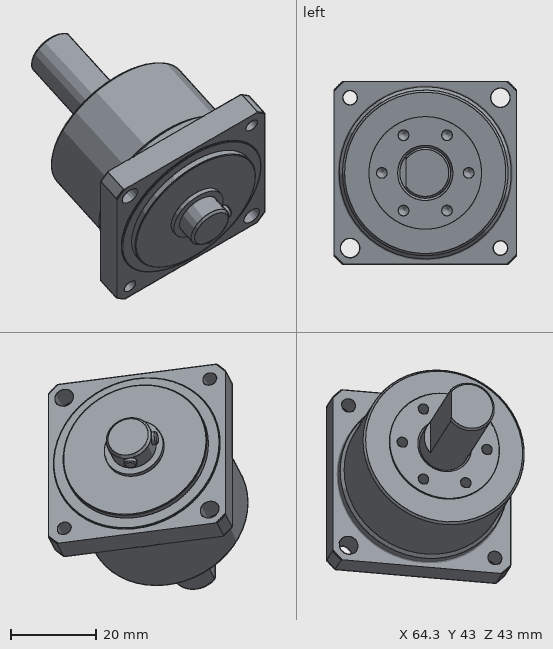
import cadquery as cq
import math


shaft_radius = 6.0
shaft_chamfer = 0.45
flat_height = 4.5
flat_length = 21.5

disc_front = 26.0
disc_thickness = 7.7
disc_back = disc_front + disc_thickness
disc_radius = 13.25
bore_countersink = 0.5
disc_hole_count = 6
disc_hole_circle_radius = 10.2
disc_hole_radius = 1.255
disc_hole_depth = 5.15
drill_tip_angle = 118.0

barrel_front = 26.5
barrel_radius = 19.5
barrel_chamfer = 0.5
pilot_front = 46.4
pilot_radius = 20.25
pilot_chamfer = pilot_radius - barrel_radius
pilot_root_fillet = 0.2
flange_front = 49.5
flange_back = 56.1
flange_side = 43.0
flange_corner_radius = 29.0
flange_corner_chamfer = 0.2
rear_pilot_back = 56.45
rear_pilot_chamfer = 0.2
cover_back = 58.0
cover_radius = 17.5
cover_chamfer = 0.2
mount_hole_offset = 17.7
small_mount_radius = 1.7
large_mount_radius = 2.25

overall_length = 64.3
collar_back = 59.1
collar_radius = 7.15
hub_radius = 5.45
hub_chamfer = 0.6

screw_x = 62.2
screw_radius = 1.51
screw_inner = 2.6
screw_outer = 6.5
screw_chamfer = 0.3


def cylinder_x(x_start, x_end, radius, y=0.0, z=0.0):
    """Solid cylinder parallel to X between two stations."""
    length = x_end - x_start
    return cq.Workplane("YZ", origin=(x_start, y, z)).circle(radius).extrude(length)


def make_shaft():
    """Output shaft with a chamfered tip and a D-flat facing +Y."""
    shaft = cylinder_x(0, disc_back, shaft_radius).faces("<X").chamfer(shaft_chamfer)
    flat_cut = cq.Workplane("XY").box(
        flat_length, shaft_radius, 2 * shaft_radius, centered=(False, False, True)
    )
    return shaft.cut(flat_cut.translate((0, flat_height, 0)))


def make_disc_hole(angle):
    """Blind drilled hole with a conical bottom, at an angle on the hole circle."""
    tip_depth = disc_hole_radius / math.tan(math.radians(drill_tip_angle / 2))
    y = disc_hole_circle_radius * math.cos(angle)
    z = disc_hole_circle_radius * math.sin(angle)
    profile = (
        cq.Workplane("XY")
        .lineTo(0, disc_hole_radius)
        .lineTo(disc_hole_depth, disc_hole_radius)
        .lineTo(disc_hole_depth + tip_depth, 0)
        .close()
    )
    return profile.revolve(360, (0, 0, 0), (1, 0, 0)).translate((disc_front, y, z))


def make_disc():
    """Output disc with a countersunk shaft bore and a ring of drilled holes."""
    disc = cylinder_x(disc_front, disc_back, disc_radius)
    disc = disc.cut(cylinder_x(disc_front, disc_back, shaft_radius))
    bore_rim = disc.faces("<X").edges(cq.selectors.RadiusNthSelector(0))
    disc = bore_rim.chamfer(bore_countersink)
    for index in range(disc_hole_count):
        disc = disc.cut(make_disc_hole(2 * math.pi * index / disc_hole_count))
    return disc


def make_flange():
    """Square flange whose corners are turned to a circle and lightly chamfered."""
    width = flange_back - flange_front
    square = cq.Workplane("YZ", origin=(flange_front, 0, 0)).rect(flange_side, flange_side)
    square = square.extrude(width)
    turned_blank = cylinder_x(flange_front, flange_back, flange_corner_radius)
    turned_blank = turned_blank.faces("<X or >X").chamfer(flange_corner_chamfer)
    return square.intersect(turned_blank)


def make_mount_holes():
    """Four through holes: small on one diagonal of the flange, large on the other."""
    holes = cq.Workplane("YZ")
    for y_side in (1, -1):
        for z_side in (1, -1):
            radius = small_mount_radius if y_side == z_side else large_mount_radius
            y = y_side * mount_hole_offset
            z = z_side * mount_hole_offset
            holes = holes.add(cylinder_x(flange_front, flange_back, radius, y, z))
    return holes.combine()


def make_housing():
    """Housing with its square flange and mounting holes, and a front recess for the output disc."""
    turned_body = (
        cq.Workplane("XY")
        .moveTo(barrel_front, 0)
        .lineTo(barrel_front, barrel_radius - barrel_chamfer)
        .lineTo(barrel_front + barrel_chamfer, barrel_radius)
        .lineTo(pilot_front, barrel_radius)
        .lineTo(pilot_front + pilot_chamfer, pilot_radius)
        .lineTo(flange_front - pilot_root_fillet, pilot_radius)
        .radiusArc((flange_front, pilot_radius + pilot_root_fillet), -pilot_root_fillet)
        .lineTo(flange_back, pilot_radius + pilot_root_fillet)
        .lineTo(flange_back, pilot_radius)
        .lineTo(rear_pilot_back - rear_pilot_chamfer, pilot_radius)
        .lineTo(rear_pilot_back, pilot_radius - rear_pilot_chamfer)
        .lineTo(rear_pilot_back, cover_radius)
        .lineTo(cover_back - cover_chamfer, cover_radius)
        .lineTo(cover_back, cover_radius - cover_chamfer)
        .lineTo(cover_back, 0)
        .close()
        .revolve(360, (0, 0, 0), (1, 0, 0))
    )
    housing = turned_body.union(make_flange())
    housing = housing.cut(make_mount_holes())
    return housing.cut(cylinder_x(barrel_front, disc_back, disc_radius))


def make_screw(direction):
    """Set screw pointing outward from the hub axis, chamfered at its outer end."""
    plane = cq.Plane(origin=(screw_x, 0, 0), xDir=(1, 0, 0), normal=direction)
    screw = cq.Workplane(plane).workplane(offset=screw_inner).circle(screw_radius)
    screw = screw.extrude(screw_outer - screw_inner)
    outer_end = cq.selectors.DirectionMinMaxSelector(cq.Vector(direction), True)
    return screw.faces(outer_end).chamfer(screw_chamfer)


def make_hub(screws):
    """Input hub with a collar against the housing and a matching hole for each screw."""
    hub = cylinder_x(cover_back, overall_length, hub_radius).faces(">X").chamfer(hub_chamfer)
    hub = hub.union(cylinder_x(cover_back, collar_back, collar_radius))
    for screw in screws:
        hub = hub.cut(screw)
    return hub


shaft = make_shaft()
disc = make_disc()
housing = make_housing()
screws = [make_screw(direction) for direction in ((0, 1, 0), (0, 0, -1))]
hub = make_hub(screws)

result = cq.Compound.makeCompound(
    [shaft.val(), disc.val(), housing.val(), hub.val(), *[screw.val() for screw in screws]]
)